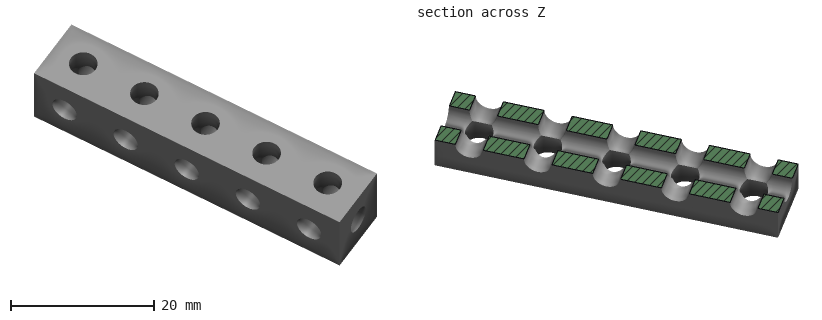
import cadquery as cq

pitch = 10.0
hole_count = 5
hole_diameter = 4.0

length = pitch * hole_count


def make_bar():
    """Square bar centred on the origin, with its length along X."""
    return cq.Workplane("XY").box(length, pitch, pitch)


def make_cross_holes(plane):
    """Row of cylinders along X, crossing the bar normal to the given plane."""
    return (
        cq.Workplane(plane)
        .rarray(pitch, pitch, hole_count, 1)
        .circle(hole_diameter / 2)
        .extrude(pitch, both=True)
    )


def make_long_hole():
    """Cylinder running the full length of the bar."""
    return cq.Workplane("YZ").circle(hole_diameter / 2).extrude(length, both=True)


result = (
    make_bar()
    .cut(make_cross_holes("XY"))
    .cut(make_cross_holes("XZ"))
    .cut(make_long_hole())
)